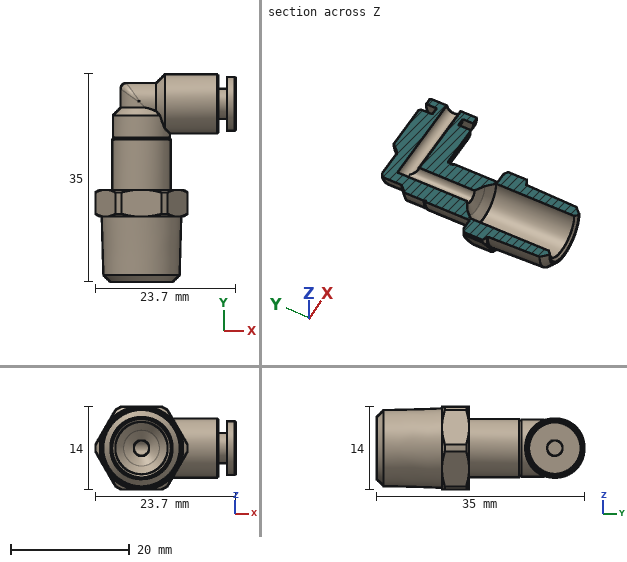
import cadquery as cq
import math

OVERALL_LENGTH = 35.0

PORT_R = 5.0
PORT_BEVEL_START = 2.5
PORT_END = 13.0
PORT_END_CHAMFER = 0.3
NECK_R = 2.55
FLANGE_R = 4.55
FLANGE_START = 14.4
FLANGE_END = 15.9
FLANGE_CHAMFER = 0.2

ELBOW_R = 3.55
ELBOW_FILLET = 0.98
ELBOW_FILLET_REACH = 3.5

COLLAR_R = 4.83
COLLAR_BEVEL_START = -0.63
COLLAR_END = -5.65
STEM_R = 4.95
STEM_START = -6.02
GROOVE_R = 4.7

HEX_FLATS = 14.0
HEX_CORNER_R = 7.77
HEX_FACE_R = 7.05
HEX_BEVEL = 0.45
HEX_START = -14.45
HEX_END = -18.97

THREAD_END = PORT_R - OVERALL_LENGTH
THREAD_LARGE_R = 6.72
THREAD_SMALL_R = 6.45
THREAD_BEVEL = 1.2
THREAD_TIP_R = 5.25

MOUTH_R = 4.95
BORE_R = 4.4
STEP_R = 3.0
PASSAGE_R = 1.3
BORE_DEPTH_Y = HEX_START
DRILL_TIP_ANGLE = 118.0


def turn_about_x(points):
    """Revolve a closed profile of (x, radius) points about the X axis."""
    return cq.Workplane("XY").polyline(points).close().revolve(360, (0, 0, 0), (1, 0, 0))


def turn_about_y(points):
    """Revolve a closed profile of (radius, y) points about the Y axis."""
    return cq.Workplane("XY").polyline(points).close().revolve(360, (0, 0, 0), (0, 1, 0))


def make_elbow():
    """Two equal round arms joined at a mitre whose outer edge is rounded."""
    stem_arm_end = COLLAR_END
    port_arm_end = PORT_END / 2
    path = cq.Workplane("XY").moveTo(0, stem_arm_end).lineTo(0, 0).lineTo(port_arm_end, 0)
    elbow = (
        cq.Workplane("XZ", origin=(0, stem_arm_end, 0))
        .circle(ELBOW_R)
        .sweep(path, transition="right")
    )
    box_size = 2 * OVERALL_LENGTH
    middle_slab = cq.Workplane("XY").box(box_size, box_size, 2 * ELBOW_FILLET_REACH)
    crowns = elbow.cut(middle_slab)
    outer_corner = cq.selectors.BoxSelector(
        (-ELBOW_R, 0, -ELBOW_R), (0, ELBOW_R, ELBOW_R), boundingbox=False
    )
    rounded = elbow.intersect(middle_slab).edges(outer_corner).fillet(ELBOW_FILLET)
    return rounded.union(crowns)


def make_port():
    """Bevelled tube housing, release-collar neck and end flange."""
    bevel_end = PORT_BEVEL_START + PORT_R - ELBOW_R
    return turn_about_x([
        (PORT_BEVEL_START, 0),
        (PORT_BEVEL_START, ELBOW_R),
        (bevel_end, PORT_R),
        (PORT_END - PORT_END_CHAMFER, PORT_R),
        (PORT_END, PORT_R - PORT_END_CHAMFER),
        (PORT_END, NECK_R),
        (FLANGE_START, NECK_R),
        (FLANGE_START, FLANGE_R),
        (FLANGE_END - FLANGE_CHAMFER, FLANGE_R),
        (FLANGE_END, FLANGE_R - FLANGE_CHAMFER),
        (FLANGE_END, 0),
    ])


def make_stem():
    """Collar, narrow groove, plain stem and tapered thread body."""
    collar_bevel_end = COLLAR_BEVEL_START - (COLLAR_R - ELBOW_R)
    return turn_about_y([
        (0, COLLAR_BEVEL_START),
        (ELBOW_R, COLLAR_BEVEL_START),
        (COLLAR_R, collar_bevel_end),
        (COLLAR_R, COLLAR_END),
        (GROOVE_R, COLLAR_END),
        (GROOVE_R, STEM_START),
        (STEM_R, STEM_START),
        (STEM_R, HEX_END),
        (THREAD_LARGE_R, HEX_END),
        (THREAD_SMALL_R, THREAD_END + THREAD_BEVEL),
        (THREAD_TIP_R, THREAD_END),
        (0, THREAD_END),
    ])


def make_nut():
    """Hexagon with flats facing +Z and -Z, trimmed by a double-bevelled disc."""
    hexagon = (
        cq.Workplane("XZ", origin=(0, HEX_START, 0))
        .transformed(rotate=(0, 0, 30))
        .polygon(6, HEX_FLATS, circumscribed=True)
        .extrude(HEX_START - HEX_END)
    )
    disc = turn_about_y([
        (0, HEX_START),
        (HEX_FACE_R, HEX_START),
        (HEX_CORNER_R, HEX_START - HEX_BEVEL),
        (HEX_CORNER_R, HEX_END + HEX_BEVEL),
        (HEX_FACE_R, HEX_END),
        (0, HEX_END),
    ])
    return hexagon.intersect(disc)


def make_passages():
    """Stepped bore from the thread end, turning into a plain hole through the port."""
    step_start = BORE_DEPTH_Y + BORE_R - STEP_R
    drill_tip_depth = (STEP_R - PASSAGE_R) / math.tan(math.radians(DRILL_TIP_ANGLE / 2))
    stem_bore = turn_about_y([
        (0, THREAD_END),
        (MOUTH_R, THREAD_END),
        (BORE_R, THREAD_END + MOUTH_R - BORE_R),
        (BORE_R, BORE_DEPTH_Y),
        (STEP_R, step_start),
        (PASSAGE_R, step_start + drill_tip_depth),
        (PASSAGE_R, 0),
        (0, 0),
    ])
    port_hole = (
        cq.Workplane("YZ", origin=(-PASSAGE_R, 0, 0))
        .circle(PASSAGE_R)
        .extrude(FLANGE_END + PASSAGE_R)
    )
    return stem_bore.union(port_hole)


result = (
    make_elbow()
    .union(make_port())
    .union(make_stem())
    .union(make_nut())
    .cut(make_passages())
)